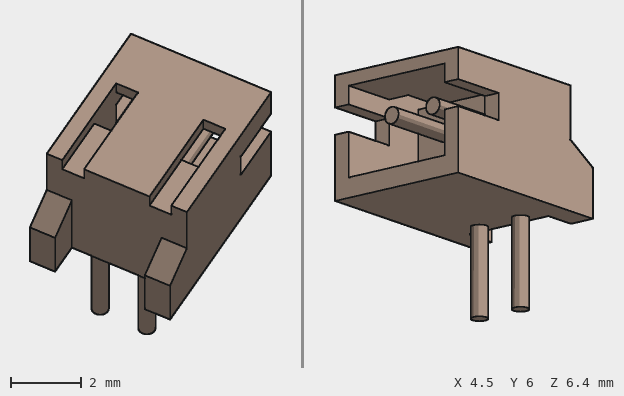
import cadquery as cq

width = 4.5
body_depth = 5.0
height = 3.7

leg_width = 0.81
leg_reach = 1.0
leg_front_height = 1.5
leg_root_height = 2.1

side_wall = 0.5
roof = 0.4
floor = 0.6
front_wall = 1.9
cavity_width = width - 2 * side_wall
cavity_depth = body_depth - front_wall
cavity_height = height - roof - floor

slot_width = 0.7
slot_length = 3.2
slot_offset = cavity_width / 2 - slot_width / 2

notch_depth = body_depth - slot_length
notch_height = 0.8
rail_above_notch = 0.95
notch_floor = height - rail_above_notch - notch_height

pin_diameter = 0.5
pitch = 1.5
contact_height = 2.4
contact_rear_gap = 0.7
contact_length = cavity_depth - contact_rear_gap
tail_y = 0.4
tail_length = 2.7


def block(size_x, size_y, size_z, x, y, z):
    """Box centred on x, with its front at y and its underside at z."""
    solid = cq.Workplane("XY").box(size_x, size_y, size_z, centered=(True, False, False))
    return solid.translate((x, y, z))


def leg(side):
    """Leg with a sloping top, flush with the housing side and bottom; side is -1 or +1."""
    profile = [
        (0, 0),
        (-leg_reach, 0),
        (-leg_reach, leg_front_height),
        (0, leg_root_height),
    ]
    centre_x = side * (width - leg_width) / 2
    return (
        cq.Workplane("YZ")
        .polyline(profile)
        .close()
        .extrude(leg_width / 2, both=True)
        .translate((centre_x, 0, 0))
    )


def make_housing():
    """Rear-opening shell with a solid front, roof slots, side notches and two legs."""
    housing = block(width, body_depth, height, 0, 0, 0)
    housing = housing.cut(block(cavity_width, cavity_depth, cavity_height, 0, front_wall, floor))
    housing = housing.cut(
        block(width, notch_depth, notch_height, 0, slot_length, notch_floor)
    )
    for side in (-1, 1):
        housing = housing.union(leg(side))
        housing = housing.cut(
            block(slot_width, slot_length, roof, side * slot_offset, 0, height - roof)
        )
    return housing


def make_contact(x):
    """Horizontal round contact standing on the cavity's front wall and pointing to the rear."""
    return (
        cq.Workplane("XZ", origin=(x, front_wall, contact_height))
        .circle(pin_diameter / 2)
        .extrude(-contact_length)
    )


def make_tail(x):
    """Vertical round solder tail hanging from the housing underside."""
    return cq.Workplane("XY", origin=(x, tail_y, 0)).circle(pin_diameter / 2).extrude(-tail_length)


housing = make_housing()
pin_positions = [-pitch / 2, pitch / 2]
contacts = [make_contact(x) for x in pin_positions]
tails = [make_tail(x) for x in pin_positions]

result = cq.Compound.makeCompound([body.val() for body in [housing, *contacts, *tails]])